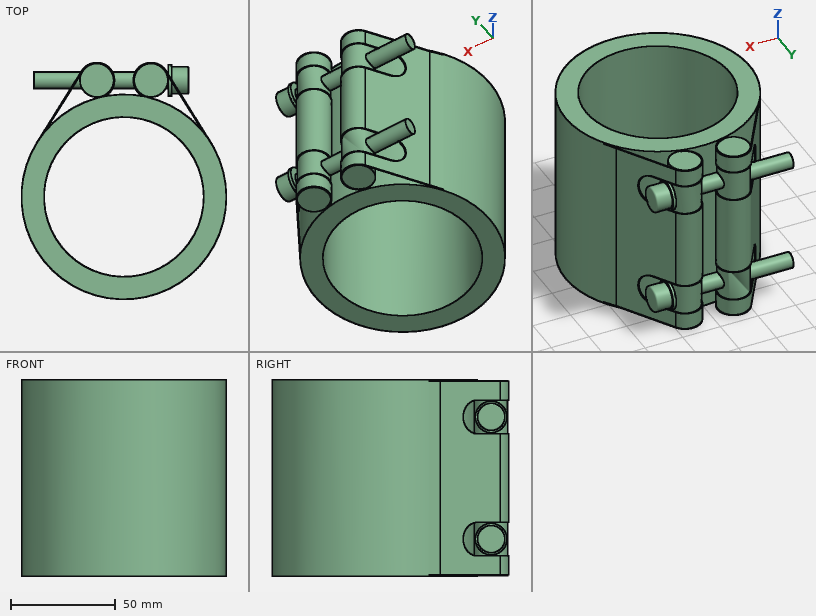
import cadquery as cq
import math

sleeve_diameter = 97.9
bore_diameter = 76.1
sleeve_length = 94.0
sleeve_radius = sleeve_diameter / 2

overall_depth = 113
pin_diameter = 16.0
pin_length = 93.0
pin_spacing = 25.9
strap_thickness = 0.5
strap_width = 92.5
pin_x = pin_spacing / 2
pin_radius = pin_diameter / 2
loop_radius = pin_radius + strap_thickness
pin_y = overall_depth - sleeve_radius - loop_radius

window_height = 16.0
bolt_z = 29.2
window_bottom_y = 42.3

bolt_diameter = 8.0
bolt_tip_x = -43
washer_x = 21.1
washer_thickness = 1.6
washer_diameter = 15.0
head_length = 8.1
head_diameter = 13.0
head_fillet = 0.8

pin_distance = math.hypot(pin_x, pin_y)
pin_angle = math.atan2(pin_y, pin_x)
run_angle = pin_angle - math.acos((sleeve_radius - loop_radius) / pin_distance)
contact_angle = pin_angle + math.pi


def polar(radius, angle, center=(0, 0)):
    return (center[0] + radius * math.cos(angle), center[1] + radius * math.sin(angle))


def make_sleeve():
    profile = cq.Workplane("XY").circle(sleeve_radius).circle(bore_diameter / 2)
    return profile.extrude(sleeve_length / 2, both=True)


def make_pin():
    return cq.Workplane("XY").center(pin_x, pin_y).circle(pin_radius).extrude(pin_length / 2, both=True)


def make_window(z):
    """Opening along X, closed at the bottom by a round end foreshortened by the slope of the strap."""
    half_height = window_height / 2
    end_depth = half_height * math.cos(run_angle)
    end_y = window_bottom_y + end_depth
    top_y = pin_y + pin_diameter
    round_end = (
        cq.Workplane("YZ")
        .center(end_y, z)
        .ellipse(end_depth, half_height)
        .extrude(sleeve_diameter)
    )
    opening = (
        cq.Workplane("YZ")
        .center((end_y + top_y) / 2, z)
        .rect(top_y - end_y, window_height)
        .extrude(sleeve_diameter)
    )
    return round_end.union(opening)


def make_strap():
    """Straight run off the sleeve, then over the pin and down its inner side to the sleeve."""
    pin_center = (pin_x, pin_y)
    middle_angle = (run_angle + contact_angle) / 2
    strap = (
        cq.Workplane("XY")
        .moveTo(*polar(sleeve_radius, run_angle))
        .lineTo(*polar(loop_radius, run_angle, pin_center))
        .threePointArc(
            polar(loop_radius, middle_angle, pin_center),
            polar(loop_radius, contact_angle, pin_center),
        )
        .lineTo(*polar(pin_radius, contact_angle, pin_center))
        .threePointArc(
            polar(pin_radius, middle_angle, pin_center),
            polar(pin_radius, run_angle, pin_center),
        )
        .lineTo(*polar(sleeve_radius - strap_thickness, run_angle))
        .close()
        .extrude(strap_width / 2, both=True)
    )
    for z in (-bolt_z, bolt_z):
        strap = strap.cut(make_window(z))
    return strap


def rod(z, start_x, length, diameter):
    return cq.Workplane("YZ", origin=(start_x, pin_y, z)).circle(diameter / 2).extrude(length)


def make_bolt(z):
    head_x = washer_x + washer_thickness
    shank = rod(z, bolt_tip_x, head_x - bolt_tip_x, bolt_diameter)
    washer = rod(z, washer_x, washer_thickness, washer_diameter)
    head = rod(z, head_x, head_length, head_diameter).faces(">X").edges().fillet(head_fillet)
    return shank.union(washer).union(head)


loop = make_pin().union(make_strap())
result = make_sleeve().union(loop).union(loop.mirror("YZ"))
for bolt_height in (-bolt_z, bolt_z):
    result = result.union(make_bolt(bolt_height))